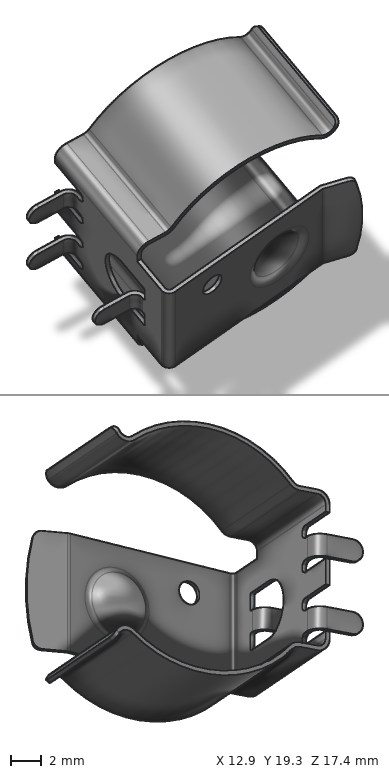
import cadquery as cq
import math

THICK = 0.3
MID = THICK / 2
BEND_MID = 2 * THICK + MID
TIGHT_MID = THICK + MID

ARM_WIDTH = 9.53
PLATE_HALF = 4.67
LEAF_HALF = 4.11
LENGTH_X = 12.95
LENGTH_Y = 19.3
TAB_TIP_Y = -3.3
BACK_Y = LENGTH_Y + TAB_TIP_Y

CLAMP_TOP = 8.7
CLAMP_Y = 9.17
CLAMP_MID = CLAMP_TOP - MID
LIP_START = 38.0
LIP_SLOPE = 57
LIP_LENGTH = 0.55
LIP_CORNER = 0.5

LEAF_TILT = 6.7
LEAF_LENGTH = 12.58
TAIL_TILT = 14
TAIL_CROWN = 0.55
TAIL_CORNER = 0.62

DOME_AT = 8.92
DOME_RADIUS = 2.53
DOME_HEIGHT = 1.25
DOME_ROOT_MID = 0.5 + MID
HOLE_AT = 3.18
HOLE_Z = 2.05
HOLE_DIAMETER = 1.6

TAB_WIDTH = 1.55
TAB_PITCH_Z = 2.53
SIDE_TAB_X = 1.6
CENTER_TAB_X = ARM_WIDTH - THICK
TAB_BEND_OUTER = BEND_MID + MID

SLOT_WIDTH = 0.85
SLOT_END_X = 3.26
WINDOW_LEFT = 5.85
WINDOW_RIGHT = 10.42
WINDOW_HALF = 2.0
WINDOW_CORNER = 0.14


def direction(degrees):
    """Unit vector at an angle from the local x axis."""
    return cq.Vector(math.cos(math.radians(degrees)), math.sin(math.radians(degrees)), 0)


def trace(start, heading, runs):
    """Stations (point, heading, bend) along a mid-sheet path.

    Each run is (straight length, bend radius, turn angle), a positive angle turning left.
    A station that ends a bend holds its center, signed radius and halfway heading.
    """
    point = cq.Vector(*start, 0)
    stations = [(point, heading, None)]
    for length, radius, turn in runs:
        if length:
            point = point + direction(heading) * length
            stations.append((point, heading, None))
        if turn:
            signed_radius = math.copysign(radius, turn)
            center = point + direction(heading + 90) * signed_radius
            bend = (center, signed_radius, heading + turn / 2)
            heading += turn
            point = center - direction(heading + 90) * signed_radius
            stations.append((point, heading, bend))
    return stations


def sheet_face(stations, offset):
    """Path offset to one sheet face: a corner and an arc midpoint (or None) per station."""
    corners = []
    midpoints = []
    for point, heading, bend in stations:
        corners.append((point + direction(heading + 90) * offset).toTuple()[:2])
        if bend:
            center, radius, half_heading = bend
            midpoint = center - direction(half_heading + 90) * (radius - offset)
            midpoints.append(midpoint.toTuple()[:2])
        else:
            midpoints.append(None)
    return corners, midpoints


def draw_step(sketch, midpoint, corner):
    return sketch.threePointArc(midpoint, corner) if midpoint else sketch.lineTo(*corner)


def bent_profile(plane, stations):
    """Closed sheet section on a plane, half a thickness to each side of the traced path."""
    left, left_midpoints = sheet_face(stations, MID)
    right, right_midpoints = sheet_face(stations, -MID)
    sketch = cq.Workplane(plane).moveTo(*left[0])
    for midpoint, corner in zip(left_midpoints[1:], left[1:]):
        sketch = draw_step(sketch, midpoint, corner)
    sketch = sketch.lineTo(*right[-1])
    for midpoint, corner in zip(right_midpoints[:0:-1], right[-2::-1]):
        sketch = draw_step(sketch, midpoint, corner)
    return sketch.close()


def plate_box(left, right, half_height):
    """Block as thick as the plate, centered on Z = 0."""
    return cq.Workplane("XY").box(right - left, THICK, 2 * half_height).translate(
        ((left + right) / 2, MID, 0)
    )


def tab_opening(center_z):
    """Opening around a side tab: a clear end and two round-ended slots beside the tab root."""
    root_x = SIDE_TAB_X + TAB_BEND_OUTER
    opening = plate_box(0, root_x, TAB_WIDTH / 2 + SLOT_WIDTH).translate((0, 0, center_z))
    slot_offset = (TAB_WIDTH + SLOT_WIDTH) / 2
    for slot_z in (center_z - slot_offset, center_z + slot_offset):
        slot_center = SLOT_END_X - SLOT_WIDTH / 2
        slot = plate_box(0, slot_center, SLOT_WIDTH / 2).translate((0, 0, slot_z))
        slot_end = (
            cq.Workplane("XZ")
            .center(slot_center, slot_z)
            .circle(SLOT_WIDTH / 2)
            .extrude(-THICK)
        )
        opening = opening.union(slot).union(slot_end)
    return opening


def window():
    """D-shaped opening with the root of the center tab left standing in it."""
    arc_center = WINDOW_LEFT + WINDOW_HALF
    tab_root = CENTER_TAB_X + TAB_BEND_OUTER
    opening = (
        cq.Workplane("XZ")
        .moveTo(arc_center, WINDOW_HALF)
        .threePointArc((WINDOW_LEFT, 0), (arc_center, -WINDOW_HALF))
        .lineTo(WINDOW_RIGHT, -WINDOW_HALF)
        .lineTo(WINDOW_RIGHT, -TAB_WIDTH / 2)
        .lineTo(tab_root, -TAB_WIDTH / 2)
        .lineTo(tab_root, TAB_WIDTH / 2)
        .lineTo(WINDOW_RIGHT, TAB_WIDTH / 2)
        .lineTo(WINDOW_RIGHT, WINDOW_HALF)
        .close()
        .extrude(-THICK)
    )
    return opening.edges("|Y and >X").fillet(WINDOW_CORNER)


def solder_tab(left_x, center_z):
    """Round-ended tab bent out of the plate toward -Y."""
    start = (left_x + TAB_BEND_OUTER, MID)
    tip_radius = TAB_WIDTH / 2
    tip_center_y = TAB_TIP_Y + tip_radius
    runs = [(0, BEND_MID, 90), (MID - BEND_MID - tip_center_y, 0, 0)]
    shank = bent_profile("XY", trace(start, 180, runs)).extrude(tip_radius, both=True)
    tip = (
        cq.Workplane("YZ", origin=(left_x, tip_center_y, 0))
        .circle(tip_radius)
        .extrude(THICK)
    )
    return shank.union(tip).translate((0, 0, center_z))


def clamp_arm():
    """Upper arm: flange, reverse bend, clamp arc and flared lip."""
    flange_z = PLATE_HALF + BEND_MID
    reverse_z = flange_z + BEND_MID
    center_distance = CLAMP_MID + BEND_MID
    rise = math.degrees(math.acos(reverse_z / center_distance))
    reverse_y = CLAMP_Y - math.sqrt(center_distance**2 - reverse_z**2)
    runs = [
        (0, BEND_MID, -90),
        (reverse_y - MID - BEND_MID, BEND_MID, rise),
        (0, CLAMP_MID, -rise - LIP_START),
        (0, BEND_MID, LIP_START + LIP_SLOPE),
        (LIP_LENGTH, 0, 0),
    ]
    arm = bent_profile("YZ", trace((MID, PLATE_HALF), 90, runs)).extrude(ARM_WIDTH)
    return arm.edges("%LINE and (not |X)").edges(">Y").fillet(LIP_CORNER)


def contact_leaf():
    """Leaf with its knee, crowned tail, hollow contact dome and hole."""
    bend_x = LENGTH_X - THICK / 2 - TIGHT_MID
    runs = [
        (bend_x - ARM_WIDTH, TIGHT_MID, 90 + LEAF_TILT),
        (LEAF_LENGTH, TIGHT_MID, -LEAF_TILT - TAIL_TILT),
    ]
    stations = trace((ARM_WIDTH, MID), 0, runs)
    leaf = bent_profile("XY", stations).extrude(LEAF_HALF, both=True)

    knee, tail_heading, _ = stations[-1]
    tail_normal = direction(tail_heading - 90)
    tail_tilt = math.radians(TAIL_TILT)
    tail_length = (BACK_Y - knee.y - MID * math.sin(tail_tilt)) / math.cos(tail_tilt)
    tail_side = tail_length - TAIL_CROWN
    tail = (
        cq.Workplane(cq.Plane(knee, direction(tail_heading), tail_normal))
        .moveTo(0, -LEAF_HALF)
        .lineTo(tail_side, -LEAF_HALF)
        .threePointArc((tail_length, 0), (tail_side, LEAF_HALF))
        .lineTo(0, LEAF_HALF)
        .close()
        .extrude(MID, both=True)
        .edges(cq.selectors.ParallelDirSelector(tail_normal))
        .edges(">Y")
        .fillet(TAIL_CORNER)
    )

    foot, leaf_heading, _ = stations[2]
    along = direction(leaf_heading)
    outward = direction(leaf_heading - 90)
    leaf_plane = cq.Workplane(cq.Plane(foot, along, outward))
    hole = leaf_plane.center(HOLE_AT, HOLE_Z).circle(HOLE_DIAMETER / 2).extrude(THICK, both=True)
    dome_blank = leaf_plane.center(DOME_AT, 0).circle(DOME_RADIUS).extrude(THICK, both=True)

    wall_angle = 2 * math.degrees(math.atan(DOME_HEIGHT / DOME_RADIUS))
    dome_mid = DOME_RADIUS / math.sin(math.radians(wall_angle)) - DOME_ROOT_MID
    dome_runs = [(0, DOME_ROOT_MID, -wall_angle), (0, dome_mid, wall_angle)]
    dome_plane = cq.Plane(foot + along * DOME_AT, along, (0, 0, 1))
    dome_section = bent_profile(dome_plane, trace((DOME_RADIUS, 0), 180, dome_runs))
    dome = dome_section.revolve(360, (0, 0), (0, 1))

    return leaf.union(tail).cut(hole).cut(dome_blank).union(dome)


def base_plate():
    """Flat between the two arm bends, up to the start of the leaf."""
    return plate_box(0, ARM_WIDTH, PLATE_HALF)


upper_arm = clamp_arm()
clip = base_plate().union(upper_arm).union(upper_arm.mirror("XY")).union(contact_leaf())

clip = clip.cut(window()).union(solder_tab(CENTER_TAB_X, 0))
for tab_z in (-TAB_PITCH_Z, TAB_PITCH_Z):
    clip = clip.cut(tab_opening(tab_z)).union(solder_tab(SIDE_TAB_X, tab_z))

result = clip